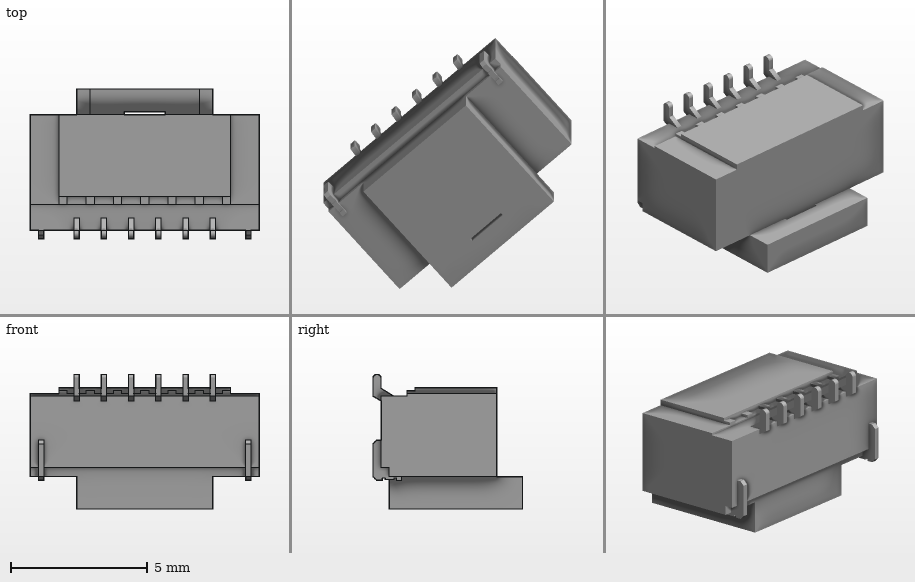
import cadquery as cq


PITCH = 1.0
CONTACT_COUNT = 6
TERMINAL_WIDTH = 0.2

HOUSING_WIDTH = 8.4
HOUSING_FRONT = 0.31
HOUSING_BACK = 4.55
SHELF_TOP = 4.16
SHELF_DEPTH = 0.94
HOUSING_TOP = 4.24
STEP_DEPTH = 0.29
STEP_HEIGHT = 0.345

SLAB_TOP = 4.46
TOOTH_TOP = 4.35
TOOTH_WIDTH = 0.3
TOOTH_LENGTH = 0.29

SKIRT_HEIGHT = 1.19
SKIRT_BACK = 5.5
LATCH_WIDTH = 4.03
WINDOW_WIDTH = 1.495
WINDOW_DEPTH = 0.1

CONTACT_TOP = 4.95
CONTACT_HEEL = 4.15
CONTACT_SHOULDER = 4.435
LEG_BOTTOM = 3.965
LEG_END = 0.76
TIP_HEIGHT = 0.135

TAB_CENTER = 3.805
TAB_TOP = 2.54
TAB_BOTTOM = 1.06
TAB_CHAMFER = 0.14
TAB_END = 1.05
TAB_LIP = 1.08
TAB_NOTCH_TOP = 1.14
TAB_NOTCH_WIDTH = 0.1
FRONT_NOTCH_START = 0.35
BACK_NOTCH_START = 0.77

SKIRT_FRONT = HOUSING_FRONT + STEP_DEPTH
SHELF_BACK = HOUSING_FRONT + SHELF_DEPTH
SLAB_FRONT = SHELF_BACK + TOOTH_LENGTH
CONTACT_SPAN = (CONTACT_COUNT - 1) * PITCH
SLAB_WIDTH = CONTACT_COUNT * PITCH + TOOTH_WIDTH
SKIRT_WIDTH = CONTACT_SPAN


def block(width, front, back, bottom, top, center_x=0.0):
    """Box of the given width centred on center_x, between Y and Z limits."""
    box = cq.Workplane("XY").box(width, back - front, top - bottom, centered=(True, False, False))
    return box.translate((center_x, front, bottom))


def extrude_centered(profile, width, center_x=0.0):
    """Extrude a closed outline in the YZ plane to a width centred on center_x."""
    return profile.extrude(width / 2, both=True).translate((center_x, 0, 0))


def side_profile(points, width, center_x=0.0):
    """Extrude a straight-sided (Y, Z) outline to a width centred on center_x."""
    return extrude_centered(cq.Workplane("YZ").polyline(points).close(), width, center_x)


def make_shell():
    """Main block, stepped at the front bottom edge and the front top edge."""
    return side_profile(
        [
            (SKIRT_FRONT, SKIRT_HEIGHT),
            (SKIRT_FRONT, SKIRT_HEIGHT + STEP_HEIGHT),
            (HOUSING_FRONT, SKIRT_HEIGHT + STEP_HEIGHT),
            (HOUSING_FRONT, SHELF_TOP),
            (SHELF_BACK, SHELF_TOP),
            (SHELF_BACK, HOUSING_TOP),
            (HOUSING_BACK, HOUSING_TOP),
            (HOUSING_BACK, SKIRT_HEIGHT),
        ],
        HOUSING_WIDTH,
    )


def make_slab():
    """Raised slab with one tooth on each side of every contact."""
    slab = block(SLAB_WIDTH, SLAB_FRONT, HOUSING_BACK, HOUSING_TOP, SLAB_TOP)
    for i in range(CONTACT_COUNT + 1):
        tooth_x = (i - CONTACT_COUNT / 2) * PITCH
        slab = slab.union(block(TOOTH_WIDTH, SHELF_BACK, SLAB_FRONT, HOUSING_TOP, TOOTH_TOP, tooth_x))
    return slab


def make_skirt():
    """Skirt below the housing, with a recess for the latch block at the back."""
    skirt = block(SKIRT_WIDTH, SKIRT_FRONT, SKIRT_BACK, 0, SKIRT_HEIGHT)
    recess = block(LATCH_WIDTH, HOUSING_BACK, SKIRT_BACK, 0, SKIRT_HEIGHT)
    return skirt.cut(recess)


def make_contact(center_x):
    """Upright solder contact with an arched tip on a leg that slopes into the housing."""
    tip_start = CONTACT_TOP - TIP_HEIGHT
    profile = (
        cq.Workplane("YZ")
        .moveTo(0, CONTACT_HEEL)
        .lineTo(0, tip_start)
        .threePointArc((HOUSING_FRONT / 2, CONTACT_TOP), (HOUSING_FRONT, tip_start))
        .lineTo(HOUSING_FRONT, CONTACT_SHOULDER)
        .lineTo(LEG_END, SHELF_TOP)
        .lineTo(LEG_END, LEG_BOTTOM)
        .lineTo(HOUSING_FRONT, LEG_BOTTOM)
        .close()
    )
    return extrude_centered(profile, TERMINAL_WIDTH, center_x)


def make_tab(center_x):
    """Solder tab that wraps around the bottom step, with two notches underneath."""
    front_notch_end = FRONT_NOTCH_START + TAB_NOTCH_WIDTH
    back_notch_end = BACK_NOTCH_START + TAB_NOTCH_WIDTH
    return side_profile(
        [
            (TAB_CHAMFER, TAB_BOTTOM),
            (0, TAB_BOTTOM + TAB_CHAMFER),
            (0, TAB_TOP - TAB_CHAMFER),
            (TAB_CHAMFER, TAB_TOP),
            (HOUSING_FRONT, TAB_TOP),
            (HOUSING_FRONT, SKIRT_HEIGHT + STEP_HEIGHT),
            (SKIRT_FRONT, SKIRT_HEIGHT + STEP_HEIGHT),
            (SKIRT_FRONT, SKIRT_HEIGHT),
            (TAB_END, SKIRT_HEIGHT),
            (TAB_END, TAB_BOTTOM),
            (back_notch_end, TAB_BOTTOM),
            (back_notch_end, TAB_NOTCH_TOP),
            (BACK_NOTCH_START, TAB_NOTCH_TOP),
            (BACK_NOTCH_START, TAB_LIP),
            (front_notch_end, TAB_LIP),
            (front_notch_end, TAB_NOTCH_TOP),
            (FRONT_NOTCH_START, TAB_NOTCH_TOP),
            (FRONT_NOTCH_START, TAB_BOTTOM),
        ],
        TERMINAL_WIDTH,
        center_x,
    )


def make_header():
    """Housing, skirt, contacts and tabs as one solid."""
    header = make_shell().union(make_slab()).union(make_skirt())
    for i in range(CONTACT_COUNT):
        header = header.union(make_contact(i * PITCH - CONTACT_SPAN / 2))
    for side in (-1, 1):
        header = header.union(make_tab(side * TAB_CENTER))
    return header


def make_latch():
    """Latch block that fills the skirt recess, with a window along its front edge."""
    latch = block(LATCH_WIDTH, HOUSING_BACK, SKIRT_BACK, 0, SKIRT_HEIGHT)
    window = block(WINDOW_WIDTH, HOUSING_BACK, HOUSING_BACK + WINDOW_DEPTH, 0, SKIRT_HEIGHT)
    return latch.cut(window)


header = make_header()
latch = make_latch()
result = cq.Compound.makeCompound([header.val(), latch.val()])